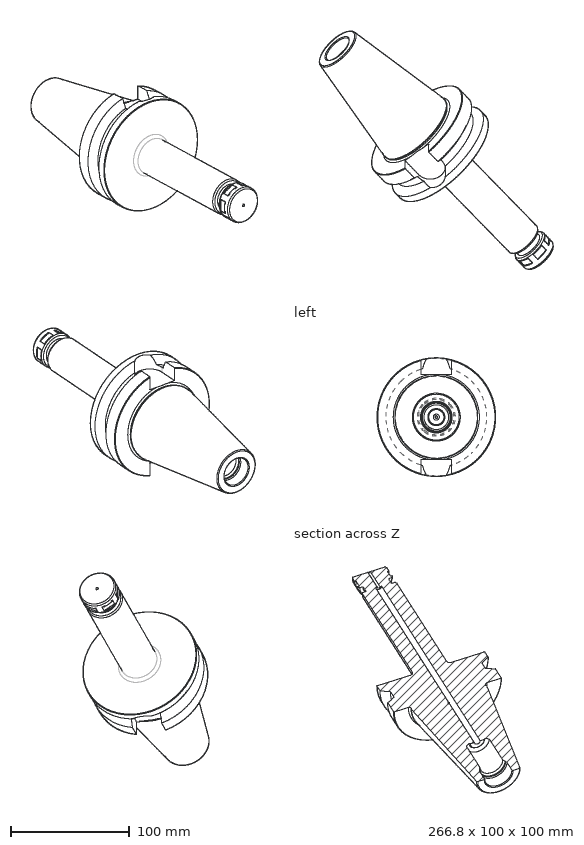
import cadquery as cq
import math

total_length = 266.8

taper_length = 102.0
gauge_radius = 35.0
taper_ratio = 7 / 24
taper_end_radius = gauge_radius - taper_length * taper_ratio / 2
taper_end_chamfer = 0.8

relief_radius = 34.5
relief_start = 102.7
relief_end = 103.8
relief_shoulder_radius = 36.3

flange_diameter = 100.0
flange_radius = flange_diameter / 2
front_collar_radius = 50.0
flange_start = 104.9
flange_end = 139.8
flange_chamfer = 0.5
groove_radius = 42.5
groove_mouth_start = 117.5
groove_floor_start = 121.5
groove_floor_end = 128.3
groove_mouth_end = 132.5

slot_width = 25.5
slot_floor_height = 35.8
slot_end = 135.5

arbor_radius = 16.0
arbor_fillet = 2.7
arbor_end = 246.5
arbor_chamfer_length = 1.5
neck_radius = 12.0

nut_start = 252.5
nut_radius = arbor_radius
nut_chamfer_length = 1.5
edge_chamfer_depth = 1.0
wrench_slot_count = 6
wrench_slot_start = 254.8
wrench_slot_end = 261.0
wrench_slot_width = 10.7
wrench_slot_floor = 14.7

bore_mouth_radius = 13.3
bore_mouth_chamfer = 0.8
pilot_radius = 12.5
pilot_depth = 11.0
relief_bore_radius = 11.7
relief_bore_start = 12.0
relief_bore_end = 13.0
thread_radius = 10.5
thread_start = 15.0
thread_end = 42.7
bore_floor_radius = 7.2
drill_half_angle = math.radians(59)
bore_floor_depth = thread_end + (thread_radius - bore_floor_radius) / math.tan(drill_half_angle)
plug_chamfer = 0.8
plug_face_depth = bore_floor_depth - plug_chamfer
coolant_bore_radius = 2.53
coolant_bore_end = arbor_end
coolant_hole_diameter = 2.0
coolant_hole_radius = coolant_hole_diameter / 2


def revolve_about_x(profile):
    return profile.close().revolve(360, (0, 0, 0), (1, 0, 0))


def make_body():
    """Turned outside shape, from the small taper end to the nut face."""
    fillet_end = flange_end + arbor_fillet
    fillet_mid_offset = arbor_fillet * (1 - math.sqrt(0.5))
    profile = (
        cq.Workplane("XY")
        .lineTo(0, taper_end_radius - taper_end_chamfer)
        .lineTo(taper_end_chamfer, taper_end_radius + taper_end_chamfer * taper_ratio / 2)
        .lineTo(taper_length, gauge_radius)
        .lineTo(relief_start, relief_radius)
        .lineTo(relief_end, relief_radius)
        .lineTo(flange_start, relief_shoulder_radius)
        .lineTo(flange_start, front_collar_radius - flange_chamfer)
        .lineTo(flange_start + flange_chamfer, front_collar_radius)
        .lineTo(groove_mouth_start, front_collar_radius)
        .lineTo(groove_floor_start, groove_radius)
        .lineTo(groove_floor_end, groove_radius)
        .lineTo(groove_mouth_end, flange_radius)
        .lineTo(flange_end - flange_chamfer, flange_radius)
        .lineTo(flange_end, flange_radius - flange_chamfer)
        .lineTo(flange_end, arbor_radius + arbor_fillet)
        .threePointArc(
            (flange_end + fillet_mid_offset, arbor_radius + fillet_mid_offset),
            (fillet_end, arbor_radius),
        )
        .lineTo(arbor_end - arbor_chamfer_length, arbor_radius)
        .lineTo(arbor_end, arbor_radius - edge_chamfer_depth)
        .lineTo(arbor_end, neck_radius)
        .lineTo(nut_start, neck_radius)
        .lineTo(nut_start, nut_radius - edge_chamfer_depth)
        .lineTo(nut_start + nut_chamfer_length, nut_radius)
        .lineTo(total_length - nut_chamfer_length, nut_radius)
        .lineTo(total_length, nut_radius - edge_chamfer_depth)
        .lineTo(total_length, 0)
    )
    return revolve_about_x(profile)


def make_bore():
    """Pilot, thread bore and chamfered plug, with a stepped coolant hole through to the nut face."""
    profile = (
        cq.Workplane("XY")
        .lineTo(0, bore_mouth_radius)
        .lineTo(bore_mouth_chamfer, pilot_radius)
        .lineTo(pilot_depth, pilot_radius)
        .lineTo(relief_bore_start, relief_bore_radius)
        .lineTo(relief_bore_end, relief_bore_radius)
        .lineTo(thread_start, thread_radius)
        .lineTo(thread_end, thread_radius)
        .lineTo(bore_floor_depth, bore_floor_radius)
        .lineTo(plug_face_depth, bore_floor_radius - plug_chamfer)
        .lineTo(plug_face_depth, coolant_bore_radius)
        .lineTo(coolant_bore_end, coolant_bore_radius)
        .lineTo(coolant_bore_end, coolant_hole_radius)
        .lineTo(total_length, coolant_hole_radius)
        .lineTo(total_length, 0)
    )
    return revolve_about_x(profile)


def make_drive_slot():
    """Round-ended slot cutter over the flange on the +Z side."""
    half_width = slot_width / 2
    round_center = slot_end - half_width
    return (
        cq.Workplane("XY", origin=(0, 0, slot_floor_height))
        .moveTo(taper_length, -half_width)
        .lineTo(round_center, -half_width)
        .threePointArc((slot_end, 0), (round_center, half_width))
        .lineTo(taper_length, half_width)
        .close()
        .extrude(flange_radius)
    )


def make_wrench_slot():
    """Flat-floored wrench pocket cutter on the -Y side of the nut."""
    length = wrench_slot_end - wrench_slot_start
    return cq.Workplane("XY").box(length, nut_radius, wrench_slot_width).translate(
        (wrench_slot_start + length / 2, -wrench_slot_floor - nut_radius / 2, 0)
    )


result = make_body().cut(make_bore())

for angle in (0, 180):
    result = result.cut(make_drive_slot().rotate((0, 0, 0), (1, 0, 0), angle))

for index in range(wrench_slot_count):
    angle = index * 360 / wrench_slot_count
    result = result.cut(make_wrench_slot().rotate((0, 0, 0), (1, 0, 0), angle))